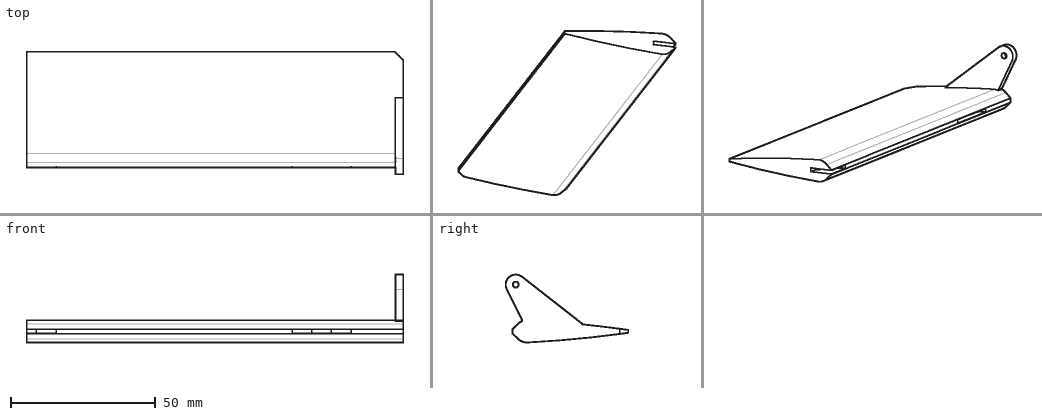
import cadquery as cq
import math

span = 130.0
chord = 40.0
half_thickness = 3.9
tail_half_thickness = 0.5
nose_half_height = 0.8
crease_y = 5.1
nose_slope_y = 2.0
nose_slope_z = half_thickness - 1.3
skin_bulge = 0.4
tail_corner = 3.0

horn_thickness = 2.7
horn_eye_y = 1.2
horn_eye_z = 16.1
horn_eye_radius = 3.5
horn_hole_diameter = 2.0
horn_front_y = 3.4
horn_front_z = 3.8
horn_rear_y = 24.2
horn_rear_z = 2.6

slot_height = 1.3
slot_depth = 8.0
slot_slant = 6.8
slot_bottom_half_width = slot_slant / 2
slot_centers_x = (0.0, 101.8)


def make_wing():
    """Extrude the symmetric section along the span and trim the trailing corner."""
    skin_y = (crease_y + chord) / 2
    skin_z = (half_thickness + tail_half_thickness) / 2 + skin_bulge
    nose_radius = (crease_y - nose_slope_y) / math.sin(math.radians(45))
    half_turn = math.radians(22.5)
    round_y = crease_y - nose_radius * math.sin(half_turn)
    round_z = half_thickness - nose_radius * (1 - math.cos(half_turn))
    wing = (
        cq.Workplane("YZ")
        .moveTo(0, -nose_half_height)
        .lineTo(0, nose_half_height)
        .lineTo(nose_slope_y, nose_slope_z)
        .threePointArc((round_y, round_z), (crease_y, half_thickness))
        .threePointArc((skin_y, skin_z), (chord, tail_half_thickness))
        .lineTo(chord, -tail_half_thickness)
        .threePointArc((skin_y, -skin_z), (crease_y, -half_thickness))
        .threePointArc((round_y, -round_z), (nose_slope_y, -nose_slope_z))
        .close()
        .extrude(span)
    )
    return wing.edges("|Z and >X and >Y").chamfer(tail_corner)


def eye_tangent_angle(y, z, side):
    """Angle on the horn eye where a line from (y, z) touches it; side is +1 or -1."""
    dy = y - horn_eye_y
    dz = z - horn_eye_z
    return math.atan2(dz, dy) + side * math.acos(horn_eye_radius / math.hypot(dy, dz))


def eye_point(angle):
    """Point on the rim of the horn eye."""
    return (
        horn_eye_y + horn_eye_radius * math.cos(angle),
        horn_eye_z + horn_eye_radius * math.sin(angle),
    )


def make_horn():
    """Tapered plate at the +X end, rounded around its pushrod hole."""
    rear_angle = eye_tangent_angle(horn_rear_y, horn_rear_z, 1)
    front_angle = eye_tangent_angle(horn_front_y, horn_front_z, -1) + 2 * math.pi
    return (
        cq.Workplane("YZ", origin=(span - horn_thickness, 0, 0))
        .moveTo(horn_rear_y, horn_rear_z)
        .lineTo(*eye_point(rear_angle))
        .threePointArc(eye_point((rear_angle + front_angle) / 2), eye_point(front_angle))
        .lineTo(horn_front_y, horn_front_z)
        .lineTo(horn_front_y, 0)
        .lineTo(horn_rear_y, 0)
        .close()
        .moveTo(horn_eye_y, horn_eye_z)
        .circle(horn_hole_diameter / 2)
        .extrude(horn_thickness)
    )


def make_slot(center_x):
    """Cutter for one hinge slot, open at the nose."""
    mouth_half_width = slot_bottom_half_width + slot_slant
    straight_depth = slot_depth - slot_slant
    return (
        cq.Workplane("XY", origin=(center_x, 0, -slot_height / 2))
        .moveTo(-mouth_half_width, 0)
        .lineTo(-mouth_half_width, straight_depth)
        .lineTo(-slot_bottom_half_width, slot_depth)
        .lineTo(slot_bottom_half_width, slot_depth)
        .lineTo(mouth_half_width, straight_depth)
        .lineTo(mouth_half_width, 0)
        .close()
        .extrude(slot_height)
    )


result = make_wing().union(make_horn())
for slot_x in slot_centers_x:
    result = result.cut(make_slot(slot_x))